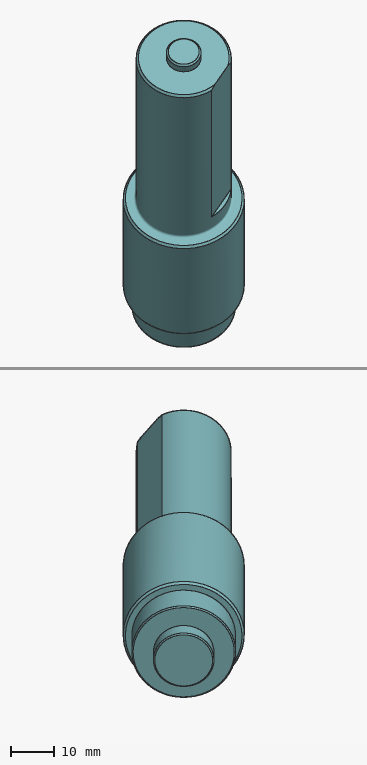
import cadquery as cq

total_height = 105.4

spigot_diameter = 14.0
lower_step_diameter = 24.0
collar_diameter = 28.0
shaft_diameter = 22.0
pin_diameter = 8.0

spigot_top = 4.0
lower_step_top = 12.0
collar_top = 47.0
shaft_top = 103.0

small_chamfer = 0.3
collar_chamfer = 0.5
shaft_chamfer = 0.5
pin_chamfer = 0.4

shaft_root_radius = 0.5

flat_offset = 10.0
flat_bottom = 52.0


def cylinder(diameter, bottom, top):
    return cq.Workplane("XY").workplane(offset=bottom).circle(diameter / 2).extrude(top - bottom)


def make_spigot():
    body = cylinder(spigot_diameter, 0, spigot_top)
    return body.faces("<Z").chamfer(small_chamfer)


def make_lower_step():
    body = cylinder(lower_step_diameter, spigot_top, lower_step_top)
    return body.faces("<Z").chamfer(small_chamfer)


def make_collar():
    body = cylinder(collar_diameter, lower_step_top, collar_top)
    return body.faces("<Z or >Z").chamfer(collar_chamfer)


def make_shaft():
    body = cylinder(shaft_diameter, collar_top, shaft_top)
    body = body.faces(">Z").chamfer(shaft_chamfer)
    flat_cutter = cq.Workplane("XY").box(
        shaft_diameter, shaft_diameter, total_height, centered=(False, True, False)
    )
    return body.cut(flat_cutter.translate((flat_offset, 0, flat_bottom)))


def make_shaft_root():
    inner = shaft_diameter / 2
    outer = inner + shaft_root_radius
    upper = collar_top + shaft_root_radius
    return (
        cq.Workplane("XZ")
        .moveTo(0, collar_top)
        .lineTo(outer, collar_top)
        .radiusArc((inner, upper), shaft_root_radius)
        .lineTo(0, upper)
        .close()
        .revolve(360, (0, 0, 0), (0, 1, 0))
    )


def make_pin():
    body = cylinder(pin_diameter, shaft_top, total_height)
    return body.faces(">Z").chamfer(pin_chamfer)


result = make_spigot()
for section in (make_lower_step(), make_collar(), make_shaft(), make_shaft_root(), make_pin()):
    result = result.union(section)